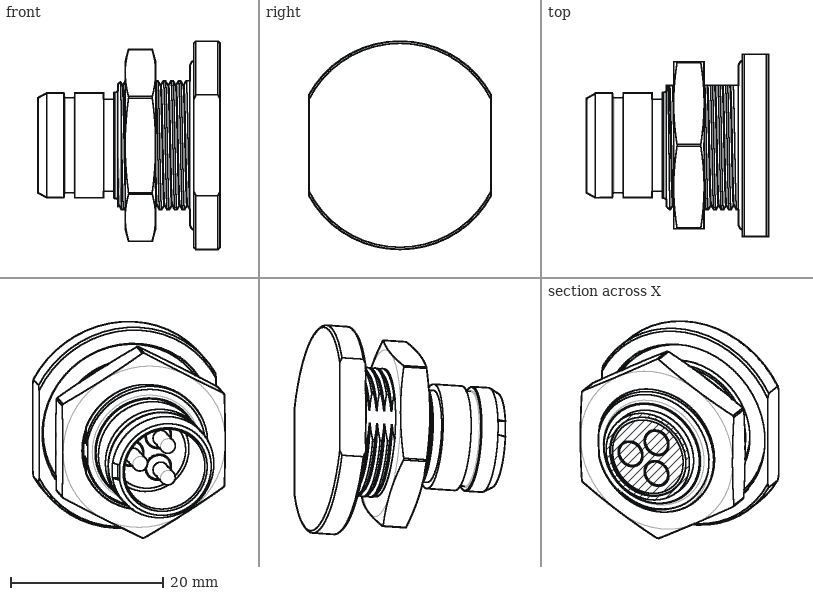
import cadquery as cq
import math


plug_radius = 6.9
tip_radius = 6.25
tip_chamfer_length = 1.2
snap_groove_start = 3.4
snap_groove_end = 4.85
snap_groove_radius = 6.27
snap_groove_edge = 0.1
snap_groove_fillet = 0.12
plug_end = 8.65
neck_radius = 6.07
neck_end = 10.0

key_width = 2.06
key_floor = 6.12

collar_radius = 7.0
collar_chamfer = 0.1
collar_fillet = 0.3
thread_start = 10.55
thread_radius = 8.5
thread_chamfer = 0.45
thread_pitch = 1.0
thread_depth = 0.55
thread_root_flat = 0.1
thread_flank_angle = 30
thread_first_turn = 9.66
thread_turns = 10.25
barrel_flat_y = 7.9

nut_start = 11.5
nut_thickness = 4.0
nut_across_flats = 22.0
nut_corner_radius = 12.63
nut_chamfer_angle = 15
nut_bore_radius = 8.15
nut_bore_chamfer = 0.27

flange_start = 20.5
flange_end = 24.0
flange_radius = 13.71
flange_width = 24.0
flange_chamfer = 0.3

seal_center_radius = 10.3
seal_section_radius = 1.0
seal_front = 20.0
seal_squash = 0.1
seal_groove_outer = 11.6
seal_groove_inner = 8.8

socket_radius = 5.46
socket_mouth_chamfer = 0.24
insert_face = 8.65
insert_face_radius = 4.92
insert_chamfer_depth = 0.35
pin_count = 3
pin_circle_radius = 2.5
pin_radius = 1.0
pin_tip = 2.65
pin_foot_radius = 1.65
pin_foot_height = 1.0
pin_recess_radius = 1.75
pin_recess_depth = 0.3

overlap = 0.2


def revolve_about_x(profile):
    """Turn a closed (x, radius) profile around the X axis."""
    return profile.close().revolve(360, (0, 0, 0), (1, 0, 0))


def cylinder_x(x_start, x_end, radius):
    return cq.Workplane("YZ", origin=(x_start, 0, 0)).circle(radius).extrude(x_end - x_start)


def make_plug():
    """Plug, neck and collar as one solid of revolution."""
    groove_floor_start = snap_groove_start + snap_groove_edge
    profile = (
        cq.Workplane("XY")
        .moveTo(0, 0)
        .lineTo(0, tip_radius)
        .lineTo(tip_chamfer_length, plug_radius)
        .lineTo(snap_groove_start, plug_radius)
        .lineTo(groove_floor_start, plug_radius - snap_groove_edge)
        .lineTo(groove_floor_start, snap_groove_radius + snap_groove_fillet)
        .radiusArc((groove_floor_start + snap_groove_fillet, snap_groove_radius), -snap_groove_fillet)
        .lineTo(snap_groove_end - snap_groove_fillet, snap_groove_radius)
        .radiusArc((snap_groove_end, snap_groove_radius + snap_groove_fillet), -snap_groove_fillet)
        .lineTo(snap_groove_end, plug_radius)
        .lineTo(plug_end, plug_radius)
        .lineTo(plug_end, neck_radius)
        .lineTo(neck_end, neck_radius)
        .lineTo(neck_end, collar_radius - collar_chamfer)
        .lineTo(neck_end + collar_chamfer, collar_radius)
        .lineTo(thread_start - collar_fillet, collar_radius)
        .radiusArc((thread_start, collar_radius + collar_fillet), -collar_fillet)
        .lineTo(thread_start, 0)
    )
    return revolve_about_x(profile)


def make_thread_cutter():
    """Right-handed helical groove, built along Z and then laid along X."""
    root_radius = thread_radius - thread_depth
    outer_radius = thread_radius + overlap
    root_half = thread_root_flat / 2
    outer_half = root_half + (outer_radius - root_radius) * math.tan(math.radians(thread_flank_angle))
    helix = cq.Wire.makeHelix(thread_pitch, thread_pitch * thread_turns, root_radius)
    cutter = (
        cq.Workplane("XZ")
        .moveTo(root_radius, -root_half)
        .lineTo(outer_radius, -outer_half)
        .lineTo(outer_radius, outer_half)
        .lineTo(root_radius, root_half)
        .close()
        .sweep(cq.Workplane(obj=helix), isFrenet=True)
    )
    return cutter.rotate((0, 0, 0), (0, 1, 0), 90).translate((thread_first_turn, 0, 0))


def make_thread_chamfer_cutter():
    """Conical ring that bevels the first thread."""
    return revolve_about_x(
        cq.Workplane("XY")
        .moveTo(thread_start - overlap, thread_radius - thread_chamfer - overlap)
        .lineTo(thread_start + thread_chamfer + overlap, thread_radius + overlap)
        .lineTo(thread_start - overlap, thread_radius + overlap)
    )


def make_barrel_flat_cutter():
    """Removes the +Y side of the barrel down to a flat."""
    depth = thread_radius
    return (
        cq.Workplane("XY")
        .box(flange_start - neck_end, depth, 2 * thread_radius, centered=(False, False, True))
        .translate((neck_end, barrel_flat_y, 0))
    )


def make_barrel():
    """Threaded barrel with a chamfered start and a flat along its +Y side."""
    barrel_end = flange_start + overlap
    barrel = cylinder_x(thread_start, barrel_end, thread_radius)
    barrel = barrel.cut(make_thread_cutter()).cut(make_thread_chamfer_cutter())
    return barrel.cut(make_barrel_flat_cutter())


def make_keyway_cutter():
    depth = plug_radius - key_floor + overlap
    return (
        cq.Workplane("XY")
        .box(tip_chamfer_length, depth, key_width, centered=(False, False, True))
        .translate((0, key_floor, 0))
    )


def make_nut():
    """Hexagon with corners toward +Z and -Z, chamfered at both faces."""
    nut_end = nut_start + nut_thickness
    face_radius = nut_across_flats / 2
    corner_drop = (nut_corner_radius - face_radius) * math.tan(math.radians(nut_chamfer_angle))
    envelope = revolve_about_x(
        cq.Workplane("XY")
        .moveTo(nut_start + nut_bore_chamfer, nut_bore_radius)
        .lineTo(nut_start, nut_bore_radius + nut_bore_chamfer)
        .lineTo(nut_start, face_radius)
        .lineTo(nut_start + corner_drop, nut_corner_radius)
        .lineTo(nut_end - corner_drop, nut_corner_radius)
        .lineTo(nut_end, face_radius)
        .lineTo(nut_end, nut_bore_radius + nut_bore_chamfer)
        .lineTo(nut_end - nut_bore_chamfer, nut_bore_radius)
    )
    hexagon = (
        cq.Workplane("YZ", origin=(nut_start, 0, 0))
        .polygon(6, nut_across_flats, circumscribed=True)
        .extrude(nut_thickness)
    )
    return envelope.intersect(hexagon)


def make_flange():
    """Chamfered disc with two flats and a front groove holding the seal ring."""
    disc = cylinder_x(flange_start, flange_end, flange_radius).edges().chamfer(flange_chamfer)
    slab = cq.Workplane("XY").box(2 * flange_end, flange_width, 2 * flange_radius)
    groove_floor = seal_front + 2 * seal_section_radius - seal_squash
    groove = revolve_about_x(
        cq.Workplane("XY")
        .moveTo(flange_start, seal_groove_inner)
        .lineTo(flange_start, seal_groove_outer)
        .lineTo(groove_floor, seal_groove_outer)
        .lineTo(groove_floor, seal_groove_inner)
    )
    seal = (
        cq.Workplane("XY")
        .center(seal_front + seal_section_radius, seal_center_radius)
        .circle(seal_section_radius)
        .revolve(360, (0, -seal_center_radius, 0), (1, -seal_center_radius, 0))
    )
    return disc.intersect(slab).cut(groove).union(seal)


def make_socket_cutter():
    """Bore of the plug, ending on the chamfered front of the insert."""
    mouth_radius = socket_radius + socket_mouth_chamfer
    return revolve_about_x(
        cq.Workplane("XY")
        .moveTo(0, 0)
        .lineTo(0, mouth_radius)
        .lineTo(socket_mouth_chamfer, socket_radius)
        .lineTo(insert_face + insert_chamfer_depth, socket_radius)
        .lineTo(insert_face, insert_face_radius)
        .lineTo(insert_face, 0)
    )


def make_pin():
    """Round-nosed pin on a conical foot, centred on the X axis."""
    root = insert_face + pin_recess_depth
    return revolve_about_x(
        cq.Workplane("XY")
        .moveTo(pin_tip, 0)
        .radiusArc((pin_tip + pin_radius, pin_radius), pin_radius)
        .lineTo(insert_face - pin_foot_height, pin_radius)
        .lineTo(insert_face, pin_foot_radius)
        .lineTo(root + overlap, pin_foot_radius)
        .lineTo(root + overlap, 0)
    )


def add_pins(body):
    recess = cylinder_x(insert_face - overlap, insert_face + pin_recess_depth, pin_recess_radius)
    pin = make_pin()
    for index in range(pin_count):
        angle = 2 * math.pi * index / pin_count
        place = (0, pin_circle_radius * math.cos(angle), pin_circle_radius * math.sin(angle))
        body = body.cut(recess.translate(place)).union(pin.translate(place))
    return body


body = make_plug().cut(make_keyway_cutter()).union(make_barrel())
body = add_pins(body.cut(make_socket_cutter()))
result = body.union(make_flange()).union(make_nut())